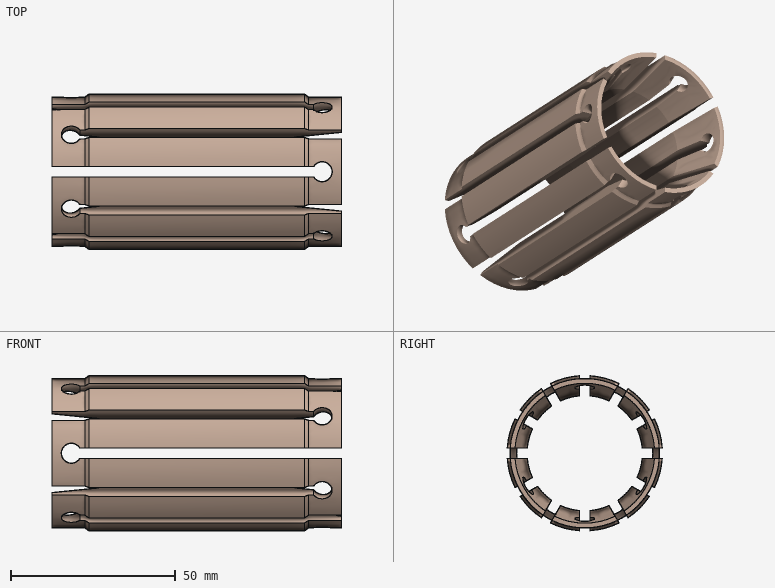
import cadquery as cq

length = 88.01
body_radius = 23.62
neck_radius = 22.7
bore_radius = 17.5

neck_length = 10.0
shoulder_length = 1.2

mouth_radius = 21.25
mouth_depth = 18.5

slot_count = 12
slot_width = 3.1
relief_diameter = 6.0
relief_inset = 5.9

half_length = length / 2
slot_angle = 360 / slot_count
cut_reach = 2 * body_radius


def make_sleeve():
    """Revolve the thin wall section, symmetric about the middle plane."""
    neck_end = half_length - neck_length
    shoulder_end = neck_end - shoulder_length
    mouth_end = half_length - mouth_depth
    section = (
        cq.Workplane("XY")
        .moveTo(0, body_radius)
        .lineTo(shoulder_end, body_radius)
        .lineTo(neck_end, neck_radius)
        .lineTo(half_length, neck_radius)
        .lineTo(half_length, mouth_radius)
        .lineTo(mouth_end, bore_radius)
        .lineTo(0, bore_radius)
        .close()
    )
    half = section.revolve(360, (0, 0, 0), (1, 0, 0))
    return half.union(half.mirror("YZ"), clean=True)


def make_slot_cutter(open_side):
    """Slot through the +Z wall, open at one end (+1 or -1 along X), with a relief hole at the other."""
    relief_x = -open_side * (half_length - relief_inset)
    slot = (
        cq.Workplane("XY")
        .center(relief_x + open_side * length / 2, 0)
        .rect(length, slot_width)
        .extrude(cut_reach)
    )
    relief = cq.Workplane("XY").center(relief_x, 0).circle(relief_diameter / 2).extrude(cut_reach)
    return slot.union(relief)


result = make_sleeve()
for index in range(slot_count):
    open_side = -1 if index % 2 == 0 else 1
    cutter = make_slot_cutter(open_side).rotate((0, 0, 0), (1, 0, 0), index * slot_angle)
    result = result.cut(cutter)